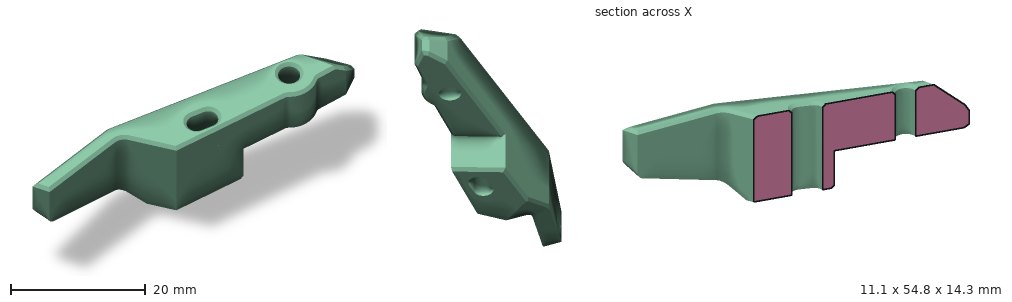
import cadquery as cq
import math

TOTAL_HEIGHT = 14.25
BAR_THICKNESS = 8.1
BAR_BOTTOM = TOTAL_HEIGHT - BAR_THICKNESS
EDGE_CHAMFER = 0.5

ARM_END_OUTER = (2.7, 0.0)
ARM_END_INNER = (5.05, 1.5)
KNEE_INNER = (2.5, 16.1)
KNEE_OUTER = (0.0, 15.45)
LEG_CORNER = (9.25, 21.45)
SIDE_KINK = (9.4, 25.0)
SIDE_END = (10.05, 40.6)
TIP_SIDE = (9.85, 51.8)
TIP_APEX = (7.85, 54.75)
TIP_FACET = (6.85, 54.15)
TIP_SHOULDER = (4.9, 51.1)
KNEE_RADIUS = 1.95

PIVOT = (6.85, 43.6)
PIVOT_DIAMETER = 3.3
BOSS_RADIUS = 4.2
BOSS_BLEND_RADIUS = 1.1

SLOT_CENTER = (6.8, 27.9)
SLOT_WIDTH = 2.95
SLOT_LENGTH = 4.9

SLOPE_START = (TIP_SIDE[0], 50.05)
SLOPE_PLAN_ANGLE = 31.0
SLOPE_FALL_ANGLE = 45.0

LEG_REAR_OUTER = (2.1, 30.75)
LEG_REAR_INNER = (9.7, 33.3)

KNEE_LINE_OUTER = (*KNEE_OUTER, 3.5)
KNEE_LINE_INNER = (2.75, KNEE_OUTER[1], 2.45)
RAMP_FOOT_INNER = (5.7, 18.55, 0.0)
ARM_UNDERSIDE_END = (*ARM_END_OUTER, 8.0)

ARM_END_EDGE_Z = 7.1
ARM_END_RADIUS = 0.8

RAMP_BEVEL_KNEE = (*KNEE_OUTER, 4.0)
RAMP_BEVEL_FOOT = (1.0, 22.55, 0.55)
RAMP_BEVEL_INNER = (1.3, 22.3, 0.0)

DIMPLE_Y = 3.65
DIMPLE_Z = 10.35
DIMPLE_DIAMETER = 5.5
DIMPLE_DEPTH = 1.15

PANEL_FRONT_Y = 24.65
PANEL_REAR_Y = 31.65
PANEL_BOTTOM = 1.7
PANEL_TOP = 10.2
PANEL_FLOOR_X = 8.75

CUTTER = 109.5


def direction_angle(start, end):
    """Plan angle, in degrees, of the line from start to end."""
    return math.degrees(math.atan2(end[1] - start[1], end[0] - start[0]))


def midpoint(start, end):
    return tuple((a + b) / 2 for a, b in zip(start, end))


def nearest(*point):
    return cq.selectors.NearestToPointSelector(point)


def vertical_edge(corner):
    """Selector of the vertical edge that stands at a plan position."""
    return nearest(*corner, TOTAL_HEIGHT / 2)


def turned_workplane(plan_point, angle):
    """Bottom work plane with its origin at a plan point and its X axis turned by the angle."""
    return cq.Workplane(cq.Plane(origin=(*plan_point, 0)).rotated((0, 0, angle)))


def space_below(p, q, r):
    """Large block on the lower side of the plane through three points."""
    p, q, r = cq.Vector(*p), cq.Vector(*q), cq.Vector(*r)
    normal = (q - p).cross(r - p)
    if normal.z > 0:
        normal = -normal
    plane = cq.Plane(origin=p, xDir=q - p, normal=normal)
    return cq.Workplane(plane).rect(CUTTER, CUTTER).extrude(CUTTER)


def chamfered(body, edges):
    return body.newObject([body.val().chamfer(EDGE_CHAMFER, None, edges)])


def boss_meeting(start, end):
    """Point where the line from start towards end enters the boss circle."""
    run = math.dist(start, end)
    ux, uy = (end[0] - start[0]) / run, (end[1] - start[1]) / run
    to_x, to_y = PIVOT[0] - start[0], PIVOT[1] - start[1]
    along = to_x * ux + to_y * uy
    aside = to_x * uy - to_y * ux
    reach = along - math.sqrt(BOSS_RADIUS**2 - aside**2)
    return (start[0] + ux * reach, start[1] + uy * reach)


def lever_blank():
    """Plan outline over the full height, with the inner knee and the boss blended in."""
    boss_front = boss_meeting(SIDE_KINK, SIDE_END)
    boss_rear = boss_meeting(TIP_SIDE, (TIP_SIDE[0], PIVOT[1]))
    blank = (
        cq.Workplane()
        .moveTo(*ARM_END_OUTER)
        .lineTo(*ARM_END_INNER)
        .lineTo(*KNEE_INNER)
        .lineTo(*LEG_CORNER)
        .lineTo(*SIDE_KINK)
        .lineTo(*boss_front)
        .threePointArc((PIVOT[0] + BOSS_RADIUS, PIVOT[1]), boss_rear)
        .lineTo(*TIP_SIDE)
        .lineTo(*TIP_APEX)
        .lineTo(*TIP_FACET)
        .lineTo(*TIP_SHOULDER)
        .lineTo(*KNEE_OUTER)
        .close()
        .extrude(TOTAL_HEIGHT)
    )
    blank = blank.edges(vertical_edge(KNEE_INNER)).fillet(KNEE_RADIUS)
    boss_corners = vertical_edge(boss_front) + vertical_edge(boss_rear)
    return blank.edges(boss_corners).fillet(BOSS_BLEND_RADIUS)


def slope_tip(body):
    """Cut the sloping face off the tip and chamfer the rim of the top and the slope."""
    level = cq.Plane(origin=(*SLOPE_START, TOTAL_HEIGHT)).rotated((0, 0, SLOPE_PLAN_ANGLE))
    slope = level.rotated((-SLOPE_FALL_ANGLE, 0, 0))
    body = body.cut(cq.Workplane(slope).rect(CUTTER, CUTTER).extrude(CUTTER))
    top_edges = body.faces(">Z").val().Edges()
    slope_edges = body.faces(cq.selectors.ParallelDirSelector(slope.zDir)).val().Edges()
    edges = top_edges + slope_edges
    rim = [edge for edge in edges if sum(edge.isSame(other) for other in edges) == 1]
    return chamfered(body, rim)


def cut_below_bar(body):
    """Clear the space behind the leg and chamfer the bottom of the bar, except along the leg."""
    angle = direction_angle(LEG_REAR_OUTER, LEG_REAR_INNER)
    behind_leg = turned_workplane(LEG_REAR_OUTER, angle).center(0, CUTTER / 2)
    body = body.cut(behind_leg.rect(CUTTER, CUTTER).extrude(BAR_BOTTOM))
    bar_bottom = body.faces(nearest(*PIVOT, BAR_BOTTOM)).val()
    leg_rear = body.faces(nearest(*midpoint(LEG_REAR_OUTER, LEG_REAR_INNER), BAR_BOTTOM / 2)).val()
    leg_edges = leg_rear.Edges()
    rim = [edge for edge in bar_bottom.Edges() if not any(edge.isSame(other) for other in leg_edges)]
    return chamfered(body, rim)


def cut_underside(body):
    """Cut the ramp and the arm underside, round the arm end and bevel the ramp's outer edge."""
    below_ramp = space_below(KNEE_LINE_OUTER, KNEE_LINE_INNER, RAMP_FOOT_INNER)
    below_arm = space_below(KNEE_LINE_OUTER, KNEE_LINE_INNER, ARM_UNDERSIDE_END)
    body = body.cut(below_ramp.intersect(below_arm))
    arm_end_edge = nearest(*midpoint(ARM_END_OUTER, ARM_END_INNER), ARM_END_EDGE_Z)
    body = body.edges(arm_end_edge).fillet(ARM_END_RADIUS)
    return body.cut(space_below(RAMP_BEVEL_KNEE, RAMP_BEVEL_FOOT, RAMP_BEVEL_INNER))


def chamfer_leg(body):
    """Chamfer the outer and rear bottom edges of the leg."""
    outer = nearest(*midpoint(RAMP_BEVEL_FOOT[:2], LEG_REAR_OUTER), 0)
    rear = nearest(*midpoint(LEG_REAR_OUTER, LEG_REAR_INNER), 0)
    return body.edges(outer + rear).chamfer(EDGE_CHAMFER)


def cut_holes(body):
    """Cut the pivot hole and the slot right through, both countersunk at the top."""
    slot_angle = direction_angle(KNEE_OUTER, TIP_SHOULDER)
    pivot = cq.Workplane().center(*PIVOT).circle(PIVOT_DIAMETER / 2)
    slot = turned_workplane(SLOT_CENTER, slot_angle).slot2D(SLOT_LENGTH, SLOT_WIDTH)
    body = body.cut(pivot.extrude(TOTAL_HEIGHT)).cut(slot.extrude(TOTAL_HEIGHT))
    mouths = body.faces(">Z").val().innerWires()
    return chamfered(body, [edge for wire in mouths for edge in wire.Edges()])


def cut_dimple(body):
    """Cut the ball recess into the outer side of the arm."""
    ball_radius = ((DIMPLE_DIAMETER / 2) ** 2 + DIMPLE_DEPTH**2) / (2 * DIMPLE_DEPTH)
    arm_angle = math.radians(direction_angle(ARM_END_OUTER, KNEE_OUTER))
    side_x = ARM_END_OUTER[0] + DIMPLE_Y / math.tan(arm_angle)
    outward = cq.Vector(-math.sin(arm_angle), math.cos(arm_angle), 0)
    side = cq.Plane(origin=(side_x, DIMPLE_Y, DIMPLE_Z), xDir=(0, 0, 1), normal=outward)
    ball = cq.Workplane(side).workplane(offset=ball_radius - DIMPLE_DEPTH).sphere(ball_radius)
    return body.cut(ball)


def whole_lever():
    """Lever before the panel recess is cut."""
    body = lever_blank()
    body = slope_tip(body)
    body = cut_below_bar(body)
    body = cut_underside(body)
    body = chamfer_leg(body)
    body = cut_holes(body)
    return cut_dimple(body)


def panel_space():
    """Block that reaches from the recess floor out through the inner side of the leg."""
    size = (CUTTER, PANEL_REAR_Y - PANEL_FRONT_Y, PANEL_TOP - PANEL_BOTTOM)
    corner = (PANEL_FLOOR_X, PANEL_FRONT_Y, PANEL_BOTTOM)
    return cq.Workplane().box(*size, centered=False).translate(corner)


solid_lever = whole_lever()
panel = solid_lever.intersect(panel_space())
lever = solid_lever.cut(panel_space())

result = cq.Compound.makeCompound([lever.val(), panel.val()])